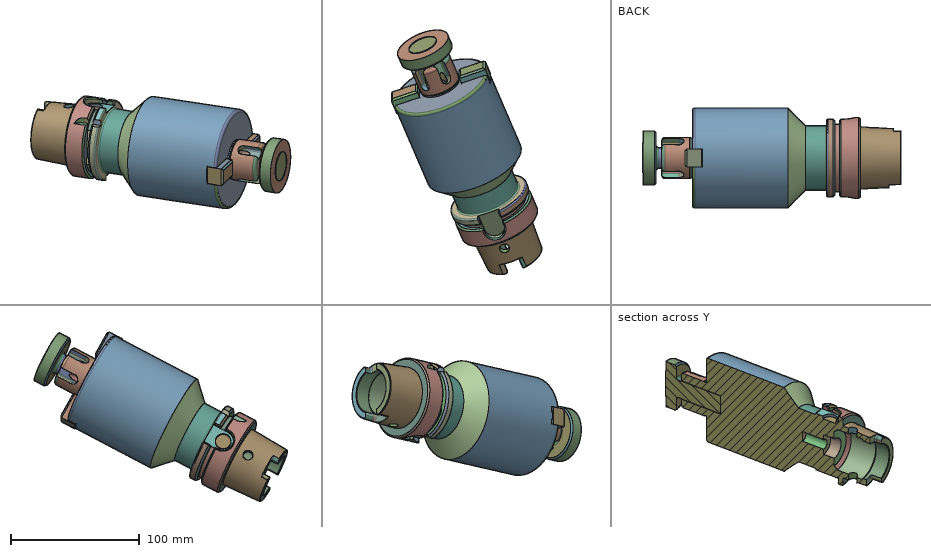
import cadquery as cq
import math


SHANK_LENGTH = 31.8
SHANK_END_RADIUS = 22.7
TAPER_SLOPE = 0.05
SHANK_EDGE_CHAMFER = 0.6
BORE_RADIUS = 17.0
BORE_MOUTH_CHAMFER = 0.5
CLAMP_RECESS_START = 12.7
CLAMP_RECESS_RADIUS = 18.5
BORE_FLOOR_X = 40.2
BORE_FLOOR_CHAMFER = 2.8
TUBE_BORE_RADIUS = 8.8
TUBE_BORE_DEPTH = 10.0
COOLANT_BORE_RADIUS = 4.2
COOLANT_BORE_END = 70.4
ACCESS_HOLE_X = 23.0
ACCESS_HOLE_RADIUS = 3.8

KEYWAY_HALF_WIDTH = 6.2
KEYWAY_CORNER_RADIUS = 1.2
KEYWAY_EDGE_RADIUS = 2.5
TOP_KEYWAY_DEPTH = 6.0
BOTTOM_KEYWAY_DEPTH = 9.6

FLANGE_RADIUS = 31.5
FLANGE_END_X = 57.9
FLANGE_EDGE_CHAMFER = 1.2
FLANGE_END_FILLET = 1.2
GROOVE_START_X = 47.8
GROOVE_END_X = 51.3
GROOVE_RADIUS = 27.5
GROOVE_LIP_LENGTH = 1.2
GROOVE_LIP_DEPTH = 1.6
GROOVE_FLAT_DISTANCE = 23.7
GROOVE_FLAT_TILT = 4.0

POCKET_CENTER_X = 44.8
POCKET_FLOOR = 26.3
POCKET_HALF_WIDTH = 8.0
POCKET_EDGE_CHAMFER = 1.0
CHIP_HOLE_RADIUS = 6.0
CHIP_HOLE_DEPTH = 2.5

NOTCH_CENTER_X = 43.8
NOTCH_RADIUS = 7.0
NOTCH_WALL = 20.0

NECK_RADIUS = 25.1
NECK_FILLET = 1.0
CONE_START_X = 74.2
BODY_RADIUS = 39.0
CONE_END_X = CONE_START_X + BODY_RADIUS - NECK_RADIUS
BODY_END_X = 162.0
BODY_EDGE_FILLET = 2.0

SPIGOT_RADIUS = 16.0
SPIGOT_END_X = 186.0
SPIGOT_EDGE_FILLET = 2.51
RELIEF_RADIUS = 15.7
RELIEF_LENGTH = 1.2
RELIEF_RAMP = 1.0

SLOT_HALF_WIDTH = 4.0
SLOT_FLOOR = 10.9
SLOT_CENTER_X = 172.7
SLOT_FLOOR_FILLET = 0.9
SLOT_ANGLE = 35.0
COOLANT_HOLE_RADIUS = 2.5
COOLANT_HOLE_EXIT_X = 170.2
COOLANT_HOLE_TILT = 20.0
COOLANT_HOLE_LENGTH = 14.0

KEY_WIDTH = 14.0
KEY_START_X = 154.2
KEY_END_X = 167.8
KEY_INNER_Y = 17.3
KEY_CHAMFER = 1.5
KEY_BACK_CHAMFER = 0.9

SCREW_RADIUS = 8.0
SCREW_START_X = 148.7
HEAD_RADIUS = 21.1
HEAD_START_X = 190.3
HEAD_END_X = 200.4
HEAD_CHAMFER = 1.3
HEAD_NECK_FILLET = 2.2
HEAD_BOSS_RADIUS = 11.5
OVERALL_LENGTH = 201.0

CUT_MARGIN = 4.0
PICK_TOLERANCE = 0.02


def turned(points):
    """Revolve an (x, radius) outline about the X axis."""
    return cq.Workplane("XY").polyline(points).close().revolve(360, (0, 0, 0), (1, 0, 0))


def x_cylinder(start, end, radius):
    return cq.Workplane("YZ", origin=(start, 0, 0)).circle(radius).extrude(end - start)


def round_ended_slot(center_x, center_y, half_width, end_x, z_low, z_high):
    """A vertical slot cutter with its round end toward -X."""
    return (
        cq.Workplane("XY", origin=(center_x, center_y, z_low))
        .moveTo(end_x - center_x, half_width)
        .lineTo(0, half_width)
        .threePointArc((-half_width, 0), (0, -half_width))
        .lineTo(end_x - center_x, -half_width)
        .close()
        .extrude(z_high - z_low)
    )


def holder_blank():
    shank_base_radius = SHANK_END_RADIUS + TAPER_SLOPE * SHANK_LENGTH
    groove_edge_radius = FLANGE_RADIUS - GROOVE_LIP_DEPTH
    relief_end = BODY_END_X + RELIEF_LENGTH
    outline = [
        (0, 0),
        (0, SHANK_END_RADIUS - SHANK_EDGE_CHAMFER),
        (SHANK_EDGE_CHAMFER, SHANK_END_RADIUS),
        (SHANK_LENGTH, shank_base_radius),
        (SHANK_LENGTH, FLANGE_RADIUS - FLANGE_EDGE_CHAMFER),
        (SHANK_LENGTH + FLANGE_EDGE_CHAMFER, FLANGE_RADIUS),
        (GROOVE_START_X - GROOVE_LIP_LENGTH, FLANGE_RADIUS),
        (GROOVE_START_X, groove_edge_radius),
        (GROOVE_START_X, GROOVE_RADIUS),
        (GROOVE_END_X, GROOVE_RADIUS),
        (GROOVE_END_X, groove_edge_radius),
        (GROOVE_END_X + GROOVE_LIP_DEPTH, FLANGE_RADIUS),
        (FLANGE_END_X, FLANGE_RADIUS),
        (FLANGE_END_X, NECK_RADIUS),
        (CONE_START_X, NECK_RADIUS),
        (CONE_END_X, BODY_RADIUS),
        (BODY_END_X, BODY_RADIUS),
        (BODY_END_X, RELIEF_RADIUS),
        (relief_end, RELIEF_RADIUS),
        (relief_end + RELIEF_RAMP, SPIGOT_RADIUS),
        (SPIGOT_END_X, SPIGOT_RADIUS),
        (SPIGOT_END_X, 0),
    ]
    blank = turned(outline)

    def round_edge(part, x, radius, fillet):
        circles = [
            edge
            for edge in part.edges("%CIRCLE").vals()
            if abs(edge.Center().x - x) < PICK_TOLERANCE and abs(edge.radius() - radius) < PICK_TOLERANCE
        ]
        return part.newObject(circles).fillet(fillet)

    blank = round_edge(blank, FLANGE_END_X, FLANGE_RADIUS, FLANGE_END_FILLET)
    blank = round_edge(blank, FLANGE_END_X, NECK_RADIUS, NECK_FILLET)
    blank = round_edge(blank, BODY_END_X, BODY_RADIUS, BODY_EDGE_FILLET)
    return round_edge(blank, SPIGOT_END_X, SPIGOT_RADIUS, SPIGOT_EDGE_FILLET)


def shank_bore():
    recess_ramp = CLAMP_RECESS_RADIUS - BORE_RADIUS
    tube_bore_end = BORE_FLOOR_X + TUBE_BORE_DEPTH
    return turned(
        [
            (0, 0),
            (0, BORE_RADIUS + BORE_MOUTH_CHAMFER),
            (BORE_MOUTH_CHAMFER, BORE_RADIUS),
            (CLAMP_RECESS_START, BORE_RADIUS),
            (CLAMP_RECESS_START + recess_ramp, CLAMP_RECESS_RADIUS),
            (BORE_FLOOR_X - BORE_FLOOR_CHAMFER, CLAMP_RECESS_RADIUS),
            (BORE_FLOOR_X, CLAMP_RECESS_RADIUS - BORE_FLOOR_CHAMFER),
            (BORE_FLOOR_X, TUBE_BORE_RADIUS),
            (tube_bore_end, TUBE_BORE_RADIUS),
            (tube_bore_end, COOLANT_BORE_RADIUS),
            (COOLANT_BORE_END, COOLANT_BORE_RADIUS),
            (COOLANT_BORE_END, 0),
        ]
    )


def keyway_cutter(depth):
    """Open-ended +Z keyway whose walls round over into the outside of the shank."""
    round_center_y = KEYWAY_HALF_WIDTH + KEYWAY_EDGE_RADIUS
    round_center_radius = SHANK_END_RADIUS - KEYWAY_EDGE_RADIUS
    round_center_z = math.sqrt(round_center_radius**2 - round_center_y**2)
    tangent_angle = math.atan2(round_center_z, round_center_y)
    middle_angle = (math.pi + tangent_angle) / 2

    def round_point(angle, side):
        y = round_center_y + KEYWAY_EDGE_RADIUS * math.cos(angle)
        return side * y, round_center_z + KEYWAY_EDGE_RADIUS * math.sin(angle)

    tangent_y, tangent_z = round_point(tangent_angle, 1)
    top_z = SHANK_END_RADIUS + CUT_MARGIN
    return (
        cq.Workplane("YZ")
        .moveTo(-KEYWAY_HALF_WIDTH, 0)
        .lineTo(KEYWAY_HALF_WIDTH, 0)
        .lineTo(KEYWAY_HALF_WIDTH, round_center_z)
        .threePointArc(round_point(middle_angle, 1), (tangent_y, tangent_z))
        .lineTo(tangent_y, top_z)
        .lineTo(-tangent_y, top_z)
        .lineTo(-tangent_y, tangent_z)
        .threePointArc(round_point(middle_angle, -1), (-KEYWAY_HALF_WIDTH, round_center_z))
        .close()
        .extrude(depth)
        .edges("|Z and >X")
        .edges("<Z")
        .fillet(KEYWAY_CORNER_RADIUS)
    )


def cut_keyways(part):
    top_keyway = keyway_cutter(TOP_KEYWAY_DEPTH)
    bottom_keyway = keyway_cutter(BOTTOM_KEYWAY_DEPTH).mirror("XY")
    return part.cut(top_keyway).cut(bottom_keyway)


def is_pocket_rim(edge):
    """True for pocket edges on the outside of the flange."""
    center = edge.Center()
    wall_reach = POCKET_HALF_WIDTH + PICK_TOLERANCE
    on_outside = abs(center.z) > POCKET_FLOOR + FLANGE_EDGE_CHAMFER
    within_pocket = abs(center.y) < wall_reach and POCKET_CENTER_X - wall_reach < center.x < FLANGE_END_X
    runs_past_flange_edges = edge.BoundingBox().xlen > FLANGE_EDGE_CHAMFER + PICK_TOLERANCE
    return on_outside and within_pocket and runs_past_flange_edges


def cut_drive_pockets(part):
    cutter = round_ended_slot(
        POCKET_CENTER_X, 0, POCKET_HALF_WIDTH, FLANGE_END_X, POCKET_FLOOR, FLANGE_RADIUS + CUT_MARGIN
    )
    part = part.cut(cutter).cut(cutter.mirror("XY"))
    rim = [edge for edge in part.edges().vals() if is_pocket_rim(edge)]
    part = part.newObject(rim).chamfer(POCKET_EDGE_CHAMFER)
    chip_hole = cq.Workplane("XY", origin=(POCKET_CENTER_X, 0, POCKET_FLOOR)).circle(CHIP_HOLE_RADIUS)
    return part.cut(chip_hole.extrude(-CHIP_HOLE_DEPTH))


def orientation_notch():
    return round_ended_slot(
        NOTCH_CENTER_X, -NOTCH_WALL - NOTCH_RADIUS, NOTCH_RADIUS, FLANGE_END_X, NOTCH_WALL, FLANGE_RADIUS
    )


def groove_flat():
    """Slab that flattens the groove floor on the -Y side."""
    thickness = FLANGE_RADIUS + CUT_MARGIN - GROOVE_FLAT_DISTANCE
    return (
        cq.Workplane("XY")
        .box(GROOVE_END_X - GROOVE_START_X, thickness, 2 * FLANGE_RADIUS, centered=(False, False, True))
        .translate((GROOVE_START_X, -GROOVE_FLAT_DISTANCE - thickness, 0))
        .rotate((0, 0, 0), (1, 0, 0), -GROOVE_FLAT_TILT)
    )


def coolant_slots():
    """Four flat-bottomed slots along the spigot, each fed by an inclined hole."""
    slot_end = SPIGOT_END_X + CUT_MARGIN
    slot_top = SPIGOT_RADIUS + CUT_MARGIN
    slot = round_ended_slot(SLOT_CENTER_X, 0, SLOT_HALF_WIDTH, slot_end, SLOT_FLOOR, slot_top)
    slot = slot.faces("<Z").edges("not >X").fillet(SLOT_FLOOR_FILLET)
    hole = (
        cq.Workplane("YZ")
        .circle(COOLANT_HOLE_RADIUS)
        .extrude(COOLANT_HOLE_LENGTH, both=True)
        .rotate((0, 0, 0), (0, 1, 0), -COOLANT_HOLE_TILT)
        .translate((COOLANT_HOLE_EXIT_X, 0, SLOT_FLOOR))
    )
    cutters = []
    for angle in (SLOT_ANGLE, 180 - SLOT_ANGLE, 180 + SLOT_ANGLE, -SLOT_ANGLE):
        for cutter in (slot, hole):
            cutters.append(cutter.rotate((0, 0, 0), (1, 0, 0), angle))
    return cutters


def make_key(side):
    """Drive key; side is +1 for +Y and -1 for -Y."""
    key = (
        cq.Workplane("XY", origin=(KEY_START_X, KEY_INNER_Y, 0))
        .box(KEY_END_X - KEY_START_X, BODY_RADIUS - KEY_INNER_Y, KEY_WIDTH, centered=(False, False, True))
        .faces(">X")
        .chamfer(KEY_CHAMFER)
        .faces("<X")
        .edges(">Y")
        .chamfer(KEY_BACK_CHAMFER)
    )
    return key if side > 0 else key.mirror("XZ")


def key_seat(side):
    """Radial seat in the body face that holds the drive key on the same side."""
    length = BODY_END_X - KEY_START_X
    height = BODY_RADIUS + CUT_MARGIN - KEY_INNER_Y
    seat = cq.Workplane("XY", origin=(KEY_START_X, KEY_INNER_Y, 0))
    seat = seat.box(length, height, KEY_WIDTH, centered=(False, False, True))
    return seat if side > 0 else seat.mirror("XZ")


def make_holder():
    holder = holder_blank().cut(shank_bore())
    holder = cut_keyways(holder)
    access_hole = cq.Workplane("XY", origin=(ACCESS_HOLE_X, 0, 0)).circle(ACCESS_HOLE_RADIUS)
    holder = holder.cut(access_hole.extrude(SHANK_END_RADIUS + CUT_MARGIN, both=True))
    holder = cut_drive_pockets(holder)
    holder = holder.cut(orientation_notch()).cut(groove_flat())
    for side in (1, -1):
        holder = holder.cut(key_seat(side))
    for cutter in coolant_slots():
        holder = holder.cut(cutter)
    return holder.cut(x_cylinder(SCREW_START_X, SPIGOT_END_X, SCREW_RADIUS))


def make_screw():
    arc_offset = HEAD_NECK_FILLET * (1 - math.sqrt(0.5))
    outline = (
        cq.Workplane("XY")
        .moveTo(SCREW_START_X, 0)
        .lineTo(SCREW_START_X, SCREW_RADIUS)
        .lineTo(HEAD_START_X - HEAD_NECK_FILLET, SCREW_RADIUS)
        .threePointArc(
            (HEAD_START_X - arc_offset, SCREW_RADIUS + arc_offset),
            (HEAD_START_X, SCREW_RADIUS + HEAD_NECK_FILLET),
        )
        .lineTo(HEAD_START_X, HEAD_RADIUS - HEAD_CHAMFER)
        .lineTo(HEAD_START_X + HEAD_CHAMFER, HEAD_RADIUS)
        .lineTo(HEAD_END_X, HEAD_RADIUS)
        .lineTo(HEAD_END_X, HEAD_BOSS_RADIUS)
        .lineTo(OVERALL_LENGTH, HEAD_BOSS_RADIUS)
        .lineTo(OVERALL_LENGTH, 0)
        .close()
    )
    return outline.revolve(360, (0, 0, 0), (1, 0, 0))


holder = make_holder()
screw = make_screw()
keys = [make_key(side) for side in (1, -1)]

result = cq.Compound.makeCompound([holder.val(), *[key.val() for key in keys], screw.val()])